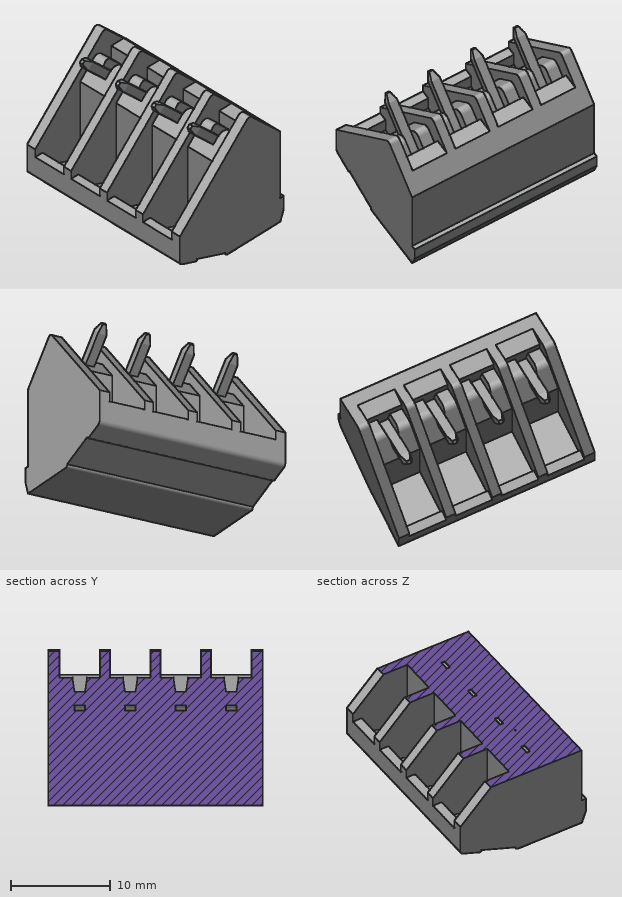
import cadquery as cq
import math


LENGTH = 21.65
OUTER_HEIGHT = 15.82
BACK_RAIL_Y = 14.9
RAIL_DEPTH = 0.5
RAIL_TOP_Z = 2.99
FRONT_TOP_Z = 6.0
APEX_Y = 9.93
APEX_RADIUS = 0.5

SLOPE = math.radians(20)
LIP_FRONT_Z = 2.4
LIP_WIDTH = 2.6
LIP_STEP = 0.25
LIP_RADIUS = 0.24
FRONT_RADIUS = 0.5
TOE_Y = 6.54
TOE_RADIUS = 0.28

BAY_COUNT = 4
PITCH = 5.09
BAY_WIDTH = 4.07
SILL_Z = 5.0
SILL_DEPTH = 1.04
FLOOR_THICKNESS = 0.9
BLOCK_FRONT_Y = 6.45
BLOCK_EDGE_Z = 11.08
BLOCK_APEX_Y = 8.92
BLOCK_RADIUS = 0.71
LEDGE_FRONT_Y = 10.9
LEDGE_Z = 13.18

PIN_SIZE = 1.02
PIN_BEND_RADIUS = 2.7 / 2
PIN_TIP_SIZE = 0.41
PIN_TIP_LENGTH = 0.95
PIN_TOP_SUM = 21.05
SLOT_WIDTH = 1.43

COS45 = math.sqrt(0.5)
BACK_Y = BACK_RAIL_Y - RAIL_DEPTH
APEX_Z = FRONT_TOP_Z + APEX_Y
APEX = (APEX_Y, APEX_Z)

FRONT_CORNER = (0, LIP_FRONT_Z)
LIP_CORNER = (LIP_WIDTH * math.cos(SLOPE), LIP_FRONT_Z - LIP_WIDTH * math.sin(SLOPE))
STEP_TOP = (
    LIP_CORNER[0] + LIP_STEP * math.sin(SLOPE),
    LIP_CORNER[1] + LIP_STEP * math.cos(SLOPE),
)
TOE_CORNER = (TOE_Y, 0)

BLOCK_APEX_Z = BLOCK_EDGE_Z + BLOCK_APEX_Y - BLOCK_FRONT_Y
BLOCK_BACK_Z = BLOCK_APEX_Z - (LEDGE_FRONT_Y - BLOCK_APEX_Y)

BEND_Y = LEDGE_FRONT_Y - PIN_BEND_RADIUS
BEND_Z = PIN_TOP_SUM - PIN_BEND_RADIUS / COS45 - BEND_Y


def side_prism(points, width):
    """Prism along X, centred, from (Y, Z) outline points."""
    return cq.Workplane("YZ").polyline(points).close().extrude(width / 2, both=True)


def underside_z(y):
    """Height of the sloping underside behind the lip, continued forward and back."""
    return STEP_TOP[1] - (y - STEP_TOP[0]) * math.tan(SLOPE)


def round_edge(solid, point, radius):
    """Fillet the edge along X that passes through the (Y, Z) point."""
    return solid.edges(cq.NearestToPointSelector((0, *point))).fillet(radius)


def make_housing():
    outline = [
        FRONT_CORNER,
        LIP_CORNER,
        STEP_TOP,
        (TOE_Y, underside_z(TOE_Y)),
        TOE_CORNER,
        (BACK_Y, 0),
        (BACK_RAIL_Y, RAIL_DEPTH / math.tan(SLOPE)),
        (BACK_RAIL_Y, RAIL_TOP_Z),
        (BACK_Y, RAIL_TOP_Z),
        (BACK_Y, APEX_Z - (BACK_Y - APEX_Y)),
        APEX,
        (0, FRONT_TOP_Z),
    ]
    housing = side_prism(outline, LENGTH)
    housing = round_edge(housing, APEX, APEX_RADIUS)
    housing = round_edge(housing, FRONT_CORNER, FRONT_RADIUS)
    housing = round_edge(housing, LIP_CORNER, LIP_RADIUS)
    return round_edge(housing, TOE_CORNER, TOE_RADIUS)


def make_bay():
    """Space of one bay: all that is open above the sill, floor, block and ledge."""
    floor_height = FLOOR_THICKNESS / math.cos(SLOPE)
    block_apex = (BLOCK_APEX_Y, BLOCK_APEX_Z)
    outline = [
        (0, SILL_Z),
        (SILL_DEPTH, SILL_Z),
        (SILL_DEPTH, underside_z(SILL_DEPTH) + floor_height),
        (BLOCK_FRONT_Y, underside_z(BLOCK_FRONT_Y) + floor_height),
        (BLOCK_FRONT_Y, BLOCK_EDGE_Z),
        block_apex,
        (LEDGE_FRONT_Y, BLOCK_BACK_Z),
        (LEDGE_FRONT_Y, LEDGE_Z),
        (BACK_Y, LEDGE_Z),
        (BACK_Y, APEX_Z),
        (0, APEX_Z),
    ]
    return round_edge(side_prism(outline, BAY_WIDTH), block_apex, BLOCK_RADIUS)


def make_slot():
    """Groove with flared sides that uncovers the pin in the block, with room for the bend below."""
    block_top_sum = BLOCK_APEX_Y + BLOCK_APEX_Z
    depth = (block_top_sum - PIN_TOP_SUM) * COS45
    reach = BLOCK_APEX_Y
    flare = cq.Workplane(
        cq.Plane(
            origin=(0, LEDGE_FRONT_Y, PIN_TOP_SUM - LEDGE_FRONT_Y),
            xDir=(1, 0, 0),
            normal=(0, -1, 1),
        )
    )
    flare = (
        flare.polyline(
            [
                (-PIN_SIZE / 2, 0),
                (PIN_SIZE / 2, 0),
                (SLOT_WIDTH / 2, depth),
                (-SLOT_WIDTH / 2, depth),
            ]
        )
        .close()
        .extrude(reach, both=True)
    )
    in_front_of_ledge = cq.Workplane("XY").box(
        BAY_WIDTH, LEDGE_FRONT_Y, APEX_Z, centered=(True, False, False)
    )
    bend_room = side_prism(
        [
            (BEND_Y, BEND_Z),
            (LEDGE_FRONT_Y, BEND_Z),
            (LEDGE_FRONT_Y, PIN_TOP_SUM - LEDGE_FRONT_Y),
            (BEND_Y, PIN_TOP_SUM - BEND_Y),
        ],
        PIN_SIZE,
    )
    return flare.intersect(in_front_of_ledge).union(bend_room)


def make_pin():
    """Square pin: a bend that starts inside the block, a straight shank and a pyramid tip."""
    axis_radius = PIN_BEND_RADIUS - PIN_SIZE / 2
    axis_sum = PIN_TOP_SUM - PIN_SIZE / 2 / COS45
    tip_y = axis_sum - OUTER_HEIGHT + PIN_TIP_SIZE / 2 * COS45
    shoulder_y = tip_y + PIN_TIP_LENGTH * COS45
    bend_end = (BEND_Y + axis_radius * COS45, BEND_Z + axis_radius * COS45)
    shank_length = (bend_end[0] - shoulder_y) / COS45

    shank = (
        cq.Workplane(cq.Plane(origin=(0, *bend_end), xDir=(1, 0, 0), normal=(0, -1, 1)))
        .rect(PIN_SIZE, PIN_SIZE)
        .extrude(shank_length)
    )
    tip = (
        shank.faces(">(0, -1, 1)")
        .workplane()
        .rect(PIN_SIZE, PIN_SIZE)
        .workplane(offset=PIN_TIP_LENGTH)
        .rect(PIN_TIP_SIZE, PIN_TIP_SIZE)
        .loft(combine=False)
    )
    bend = (
        cq.Workplane("XY", origin=(0, BEND_Y + axis_radius, BEND_Z))
        .rect(PIN_SIZE, PIN_SIZE)
        .revolve(45, (0, -axis_radius, 0), (1, -axis_radius, 0))
    )
    return shank.union(tip).union(bend)


bay = make_bay()
slot = make_slot()
pin = make_pin()

result = make_housing()
for index in range(BAY_COUNT):
    x = (index - (BAY_COUNT - 1) / 2) * PITCH
    place = cq.Vector(x, 0, 0)
    result = result.cut(bay.translate(place)).cut(slot.translate(place)).union(pin.translate(place))